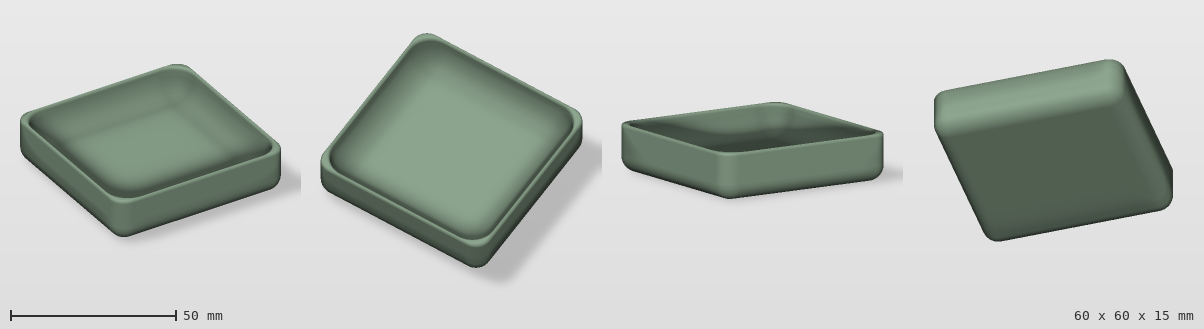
import cadquery as cq

side = 60.0
height = 15.0

corner_radius = 5.0
bottom_radius = corner_radius
rim_radius = 1.0

wall = 1.25
floor_thickness = 5.6
cavity_radius = 7.5


def rounded_block(width, depth, base_z, radius):
    """Square block with rounded vertical edges, standing on base_z."""
    return (
        cq.Workplane("XY")
        .workplane(offset=base_z)
        .rect(width, width)
        .extrude(depth)
        .edges("|Z")
        .fillet(radius)
    )


body = rounded_block(side, height, 0, corner_radius)
body = body.faces("<Z").edges().fillet(bottom_radius)
body = body.faces(">Z").edges().fillet(rim_radius)

cavity_side = side - 2 * wall
cavity_depth = height - floor_thickness
cavity = rounded_block(cavity_side, cavity_depth, floor_thickness, cavity_radius)
cavity = cavity.faces("<Z").edges().fillet(cavity_radius)

oversize_side = side + 2 * corner_radius
surround = cq.Workplane("XY").box(oversize_side, oversize_side, height, centered=(True, True, False))
surround = surround.cut(cavity)
surround = surround.faces(">Z").edges(cq.selectors.BoxSelector(
    (-side / 2, -side / 2, 0),
    (side / 2, side / 2, height + rim_radius),
    boundingbox=True,
)).fillet(rim_radius)

result = body.intersect(surround)